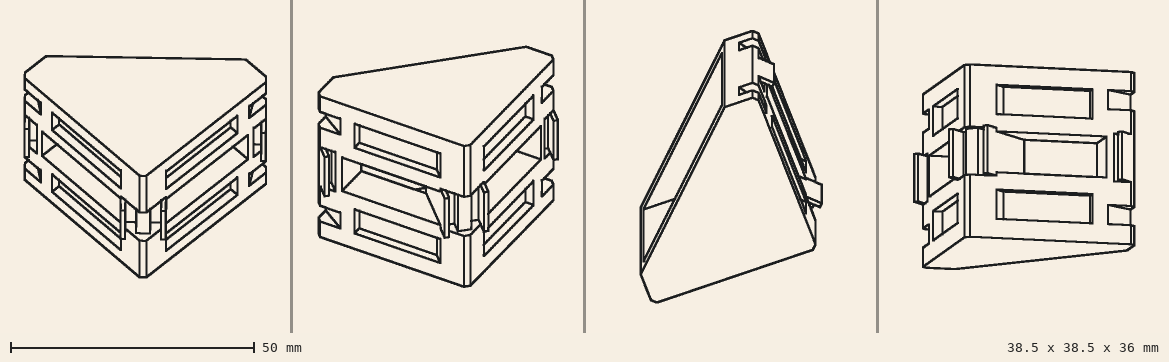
import cadquery as cq


side = 36.0
corner = 0.95
end_land = 7.05
wall = 7.97
cheek = 4.0

slot_far = 29.45
through_near = 6.12
through_height = 8.55
blind_near = 9.1
blind_height = 6.12
blind_depth = 2.0

notch_length = 5.78
notch_depth = 3.9
notch_height = 4.0

tab_height = 10.0
tab_span = 1.35
tab_reach = 5.0
end_groove = 4.6
corner_groove = 33.95
root_depth = 0.95
corner_cut = 32.38

middle = side / 2
overrun = 7.7


def prism(points, bottom, height):
    return cq.Workplane("XY").workplane(offset=bottom).polyline(points).close().extrude(height)


def reflected(point):
    x, y = point
    return (side - y, side - x)


def diagonal(across, along):
    return ((across + along) / 2, (across - along) / 2)


def diagonal_block(across_min, across_max, along_min, along_max):
    """Block aligned with the diagonal, as tall as the tabs."""
    points = [
        diagonal(across_min, along_min),
        diagonal(across_max, along_min),
        diagonal(across_max, along_max),
        diagonal(across_min, along_max),
    ]
    return prism(points, middle - tab_height / 2, tab_height)


def cut_both_legs(body, points, bottom, height):
    body = body.cut(prism(points, bottom, height))
    return body.cut(prism([reflected(p) for p in points], bottom, height))


def make_body():
    half_outline = [
        (0, end_land),
        (0, corner),
        (corner, 0),
        (side - corner, 0),
    ]
    other_half = [reflected(p) for p in reversed(half_outline)]
    body = prism(half_outline + other_half, 0, side)
    hollow = [
        (wall - end_land - overrun, wall),
        (side - wall, wall),
        (side - wall, side - wall + end_land + overrun),
    ]
    return body.cut(prism(hollow, cheek, side - 2 * cheek))


def leg_opening(near, depth):
    """Plan outline of an opening with a square near end and a 45 degree far end."""
    return [(near, 0), (slot_far, 0), (slot_far - depth, depth), (near, depth)]


def cut_openings(body):
    through = leg_opening(through_near, wall)
    body = cut_both_legs(body, through, middle - through_height / 2, through_height)
    blind = leg_opening(blind_near, blind_depth)
    for bottom in (cheek, side - cheek - blind_height):
        body = cut_both_legs(body, blind, bottom, blind_height)
    return body


def cut_notches(body):
    notch = [(0, 0), (notch_length, 0), (0, notch_depth)]
    for bottom in (cheek, side - cheek - notch_height):
        body = cut_both_legs(body, notch, bottom, notch_height)
    return body


def add_tabs(body):
    corner_relief = diagonal_block(
        corner_groove, 2 * side - corner_groove, corner_cut, side + overrun
    )
    body = body.cut(corner_relief)
    for start, groove_end in ((corner, end_groove), (slot_far, corner_groove)):
        tab_end = start + tab_span
        root = start - root_depth
        tip = start + tab_reach
        mirror_start = 2 * side - start
        mirror_tab_end = 2 * side - tab_end
        mirror_groove_end = 2 * side - groove_end
        body = body.cut(diagonal_block(tab_end, groove_end, root, tip))
        body = body.cut(diagonal_block(mirror_groove_end, mirror_tab_end, root, tip))
        body = body.union(diagonal_block(start, tab_end, root, tip))
        body = body.union(diagonal_block(mirror_tab_end, mirror_start, root, tip))
    return body


result = add_tabs(cut_notches(cut_openings(make_body())))